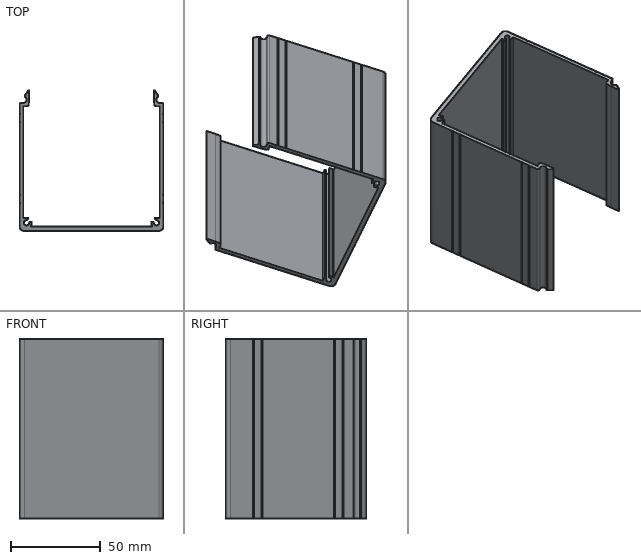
import cadquery as cq
import math

width = 80.1
depth = 78.2
length = 100.0

side_wall = 2.1
floor_wall = 2.6
base_radius = 2.6
shoulder_y = 71.3
shoulder_radius = 0.9

ledge_y = 69.3
arm_root_x = 5.2
arm_inner_x = 5.4
arm_bend_y = 73.0
arm_root_radius = 1.2
tip_outer_x = 4.8
barb_x = 3.0
barb_top_y = 75.5
barb_bottom_y = 74.7
groove_x = 2.2
groove_y = 73.0
groove_radius = groove_y - shoulder_y

screw_x = 3.9
screw_y = 4.6
screw_radius = 1.4
screw_upper_angle = 125
screw_lower_angle = -10
shelf_y = 7.3
shelf_tip_x = 4.8
shelf_tip_y = 6.9
shelf_neck_x = 4.3
shelf_neck_y = 6.2
lip_y = 5.2
lip_tip_x = 5.7
lip_outer_x = 6.8
lip_foot_x = 6.4
lip_undercut_y = 3.5

mark_positions = (15.4, 20.2, 60.5, 65.3)
mark_width = 0.9
mark_depth = 0.2


def circle_point(center_x, center_y, radius, angle):
    """Point on a circle, with the angle in degrees from +X."""
    turn = math.radians(angle)
    return (center_x + radius * math.cos(turn), center_y + radius * math.sin(turn))


def half_profile():
    """Section of the left half, with the outer corner of the base at the origin."""
    screw_top = circle_point(screw_x, screw_y, screw_radius, screw_upper_angle)
    screw_back = circle_point(screw_x, screw_y, screw_radius, 225)
    screw_front = circle_point(screw_x, screw_y, screw_radius, screw_lower_angle)
    base_middle = circle_point(base_radius, base_radius, base_radius, 225)
    shoulder_middle = circle_point(
        shoulder_radius, shoulder_y - shoulder_radius, shoulder_radius, 135
    )
    root_middle = circle_point(
        arm_root_x - arm_root_radius, ledge_y + arm_root_radius, arm_root_radius, -45
    )
    profile = cq.Workplane("XY").moveTo(width / 2, 0).lineTo(base_radius, 0)
    profile = profile.threePointArc(base_middle, (0, base_radius))
    for center_y in mark_positions:
        profile = (
            profile.lineTo(0, center_y - mark_width / 2)
            .lineTo(mark_depth, center_y)
            .lineTo(0, center_y + mark_width / 2)
        )
    profile = profile.lineTo(0, shoulder_y - shoulder_radius)
    profile = profile.threePointArc(shoulder_middle, (shoulder_radius, shoulder_y))
    profile = (
        profile.lineTo(groove_x, shoulder_y)
        .threePointArc((groove_x + groove_radius, groove_y), (barb_x, barb_bottom_y))
        .lineTo(barb_x, barb_top_y)
        .lineTo(tip_outer_x, depth)
        .lineTo(arm_inner_x, depth)
        .lineTo(arm_inner_x, arm_bend_y)
        .lineTo(arm_root_x, ledge_y + arm_root_radius)
        .threePointArc(root_middle, (arm_root_x - arm_root_radius, ledge_y))
        .lineTo(side_wall, ledge_y)
    )
    profile = (
        profile.lineTo(side_wall, shelf_y)
        .lineTo(shelf_tip_x, shelf_y)
        .lineTo(shelf_tip_x, shelf_tip_y)
        .lineTo(shelf_neck_x, shelf_neck_y)
        .lineTo(*screw_top)
        .threePointArc(screw_back, screw_front)
        .lineTo(lip_tip_x, lip_y)
        .lineTo(lip_outer_x, lip_y)
        .lineTo(lip_outer_x, lip_undercut_y)
        .lineTo(lip_foot_x, lip_undercut_y)
        .lineTo(lip_foot_x, floor_wall)
        .lineTo(width / 2, floor_wall)
    )
    return profile.close()


left_half = half_profile().extrude(length).translate((-width / 2, -depth / 2, -length / 2))
result = left_half.union(left_half.mirror("YZ")).clean()